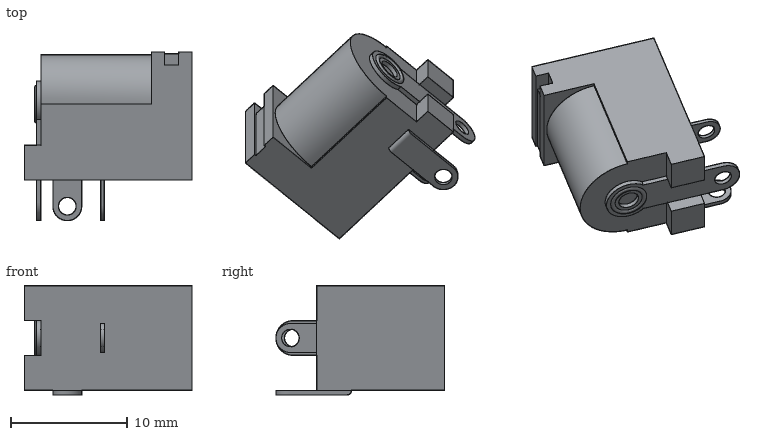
import cadquery as cq


housing_length = 14.4
housing_height = 9.0
back_y = 4.5
front_y = -6.51
barrel_radius = 4.25
flange_thickness = 3.5
shoulder_x = 1.42
block_depth = 3.0
slot_height = 3.0
bottom_z = -housing_height / 2
block_y = front_y + block_depth
flange_x = housing_length - flange_thickness

notch_width = 1.2
notch_depth = 1.15
notch_height = 1.74
groove_depth = 0.16
notch_x = housing_length - flange_thickness / 2

tip_y = -10.0
lug_hole_diameter = 1.5
side_lug_width = 2.5
plate_thickness = 0.39

head_radius = 2.0
rivet_crest_radius = 1.42
rivet_bead_width = 0.4
rivet_bead_height = 0.16
rivet_hole_radius = 0.88

switch_thickness = 0.3
switch_x = 6.55
sleeve_x = 3.68
sleeve_bend_radius = 0.36


def box(x_range, y_range, z_range):
    """Box spanning the given (low, high) limits."""
    return cq.Workplane("XY").box(
        x_range[1] - x_range[0],
        y_range[1] - y_range[0],
        z_range[1] - z_range[0],
        centered=False,
    ).translate((x_range[0], y_range[0], z_range[0]))


def make_housing():
    half_height = housing_height / 2
    full_height = (-half_height, half_height)
    body = box((shoulder_x, housing_length), (front_y, 0), full_height)
    barrel = (
        cq.Workplane("YZ", origin=(shoulder_x, 0, 0))
        .circle(barrel_radius)
        .extrude(housing_length - shoulder_x)
    )
    flange = box((flange_x, housing_length), (front_y, back_y), full_height)
    blocks = box((0, shoulder_x), (front_y, block_y), full_height)
    slot = box((0, shoulder_x), (front_y, block_y), (-slot_height / 2, slot_height / 2))
    body = body.union(barrel).union(flange).union(blocks.cut(slot))

    notch_span = (notch_x - notch_width / 2, notch_x + notch_width / 2)
    notch = box(notch_span, (back_y - notch_depth, back_y), (half_height - notch_height, half_height))
    groove = box(notch_span, (back_y - groove_depth, back_y), full_height)
    return body.cut(notch).cut(groove)


def make_lug(start_y, width, thickness):
    """Flat lug on the XY plane, centered on X = 0, with a round drilled tip."""
    radius = width / 2
    tip_center_y = tip_y + radius
    return (
        cq.Workplane("XY")
        .moveTo(-radius, start_y)
        .lineTo(-radius, tip_center_y)
        .threePointArc((0, tip_y), (radius, tip_center_y))
        .lineTo(radius, start_y)
        .close()
        .moveTo(0, tip_center_y)
        .circle(lug_hole_diameter / 2)
        .extrude(thickness)
    )


def make_upright_lug(start_y, width, thickness, x):
    """Lug standing across the X axis, its face nearer the terminal end at x."""
    lug = make_lug(start_y, width, thickness)
    return lug.rotate((0, 0, 0), (0, 1, 0), 90).translate((x, 0, 0))


def make_center_terminal():
    plate_x = shoulder_x - plate_thickness
    face = cq.Workplane("YZ", origin=(plate_x, 0, 0))
    arm = make_upright_lug(0, slot_height, plate_thickness, plate_x)
    head = face.circle(head_radius).extrude(plate_thickness)
    bead = (
        cq.Workplane("XY")
        .moveTo(plate_x, rivet_crest_radius - rivet_bead_width / 2)
        .threePointArc(
            (plate_x - rivet_bead_height, rivet_crest_radius),
            (plate_x, rivet_crest_radius + rivet_bead_width / 2),
        )
        .close()
        .revolve(360, (0, 0, 0), (1, 0, 0))
    )
    hole = face.circle(rivet_hole_radius).extrude(plate_thickness)
    return arm.union(head).union(bead).cut(hole)


def make_switch_terminal():
    return make_upright_lug(front_y, side_lug_width, switch_thickness, switch_x)


def make_sleeve_terminal():
    lug = make_lug(block_y, side_lug_width, plate_thickness)
    lug = lug.translate((sleeve_x, 0, bottom_z - plate_thickness))
    return lug.faces(">Y").edges("<Z").fillet(sleeve_bend_radius)


housing = make_housing()
center_terminal = make_center_terminal()
switch_terminal = make_switch_terminal()
sleeve_terminal = make_sleeve_terminal()

result = cq.Compound.makeCompound([
    housing.solids().val(),
    center_terminal.solids().val(),
    switch_terminal.solids().val(),
    sleeve_terminal.solids().val(),
])